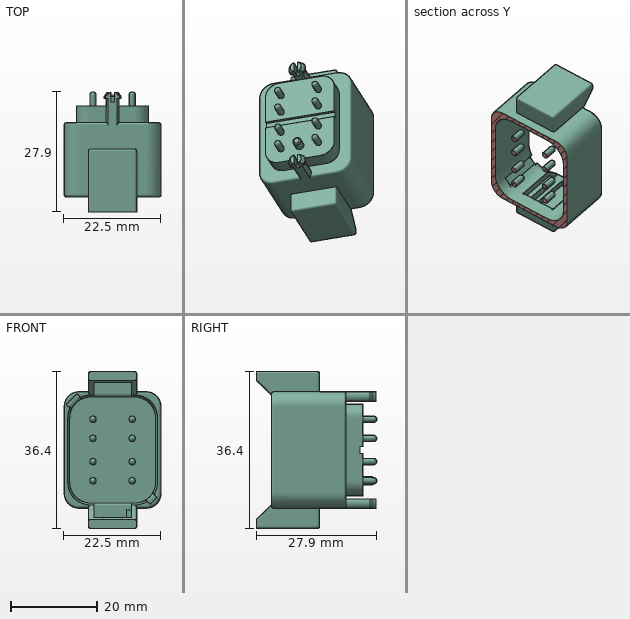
import cadquery as cq
import math


DIAGONAL = math.sqrt(0.5)

SHELL_WIDTH = 22.45
SHELL_HEIGHT = 27.0
SHELL_DEPTH = 17.25
SHELL_CORNER_RADIUS = 3.5
SHELL_REAR_ROUND = 0.5
SHELL_MOUTH_ROUND = 0.58

CAVITY_WIDTH = 19.85
CAVITY_HEIGHT = 24.5
CAVITY_CORNER_RADIUS = 4.75
CAVITY_DEPTH = 15.85
CAVITY_FLOOR_FILLET = 0.18
LEAD_IN_STEPS = [(0.35, 0.1), (0.87, 0.35)]

KEYWAY_DEPTH = 10.0
KEYWAY_WALL = 0.98
KEYWAY_HEIGHT = 3.27
KEYWAY_END_FLAT = 0.65
KEYWAY_END_ROUND = 1.0
KEYWAY_EDGE_FILLET = 0.18
NARROW_KEYWAY_WIDTH = 2.25
WIDE_KEYWAY_WIDTH = 3.93
WIDE_KEYWAY_SPLAY = 17
WIDE_KEYWAY_CORNER = 0.35

HOOD_WIDTH = 11.2
HOOD_TOP = 18.18
HOOD_OVERHANG = 3.5
HOOD_REAR = 11.13
HOOD_LIP = 2.1
HOOD_ROOT = 12.73
HOOD_ROUND = 0.5
HOOD_POCKET_WIDTH = 8.73
HOOD_POCKET_TOP = 15.65
HOOD_POCKET_DEPTH = 9.5
HOOD_POCKET_ROUND = 0.73

RIB_WIDTH = 1.2
RIB_HEIGHT = 1.78
RECESS_WIDTH = 4.35
RECESS_DEPTH = 1.35
RECESS_FRONT = -1.78

BLOCK_WIDTH = 16.73
BLOCK_HEIGHT = 21.25
BLOCK_LENGTH = 3.93
BLOCK_CORNER_RADIUS = 3.25
BLOCK_SLOT_WIDTH = 1.53
BLOCK_SLOT_DEPTH = 0.65

PIN_DIAMETER = 1.5
PIN_TIP = 9.75
PIN_REAR_LENGTH = 7.15
PIN_COLUMN = 4.55
PIN_ROWS = [2.7, 7.13]

PEG_DIAMETER = 1.95
PEG_LENGTH = 6.45
PEG_CHAMFER = 0.33

LEG_RADIUS = 1.53
LEG_THICKNESS = 2.2
LEG_HEAD_RADIUS = 1.95
LEG_HEAD_START = 5.55
LEG_HEAD_CONE_START = 6.07
LEG_LENGTH = 7.0
LEG_TIP_RADIUS = 1.3
LEG_SLOT_WIDTH = 0.8
LEG_SLOT_START = 4.85
LEG_ANCHOR = 1.1


def rounded_prism(width, height, radius, y_start, length):
    """Prism with rounded corners, running towards +Y."""
    prism = cq.Workplane("XZ", origin=(0, y_start, 0)).rect(width, height).extrude(-length)
    return prism.edges("|Y").fillet(radius)


def block(x_range, y_range, z_range):
    """Axis-aligned block between the given limits."""
    lows, highs = zip(x_range, y_range, z_range)
    sizes = [high - low for low, high in zip(lows, highs)]
    return cq.Workplane("XY").box(*sizes, centered=False).translate(lows)


def make_shell():
    shell = rounded_prism(SHELL_WIDTH, SHELL_HEIGHT, SHELL_CORNER_RADIUS, 0, SHELL_DEPTH)
    return shell.faces(">Y").edges().fillet(SHELL_REAR_ROUND).faces("<Y").edges().fillet(SHELL_MOUTH_ROUND)


def make_cavity():
    y = sum(depth for depth, growth in LEAD_IN_STEPS)
    cavity = rounded_prism(CAVITY_WIDTH, CAVITY_HEIGHT, CAVITY_CORNER_RADIUS, y, CAVITY_DEPTH - y)
    cavity = cavity.faces(">Y").edges().fillet(CAVITY_FLOOR_FILLET)
    for depth, growth in LEAD_IN_STEPS:
        taper = -math.degrees(math.atan2(growth, depth))
        rim = cavity.faces("<Y").wires().toPending()
        cavity = rim.workplane(origin=(0, y, 0)).extrude(depth, taper=taper)
        y -= depth
    return cavity


def make_keyway(width, splay, corner_radius):
    """Keyway cutter on the upper right corner diagonal; its sides lean by splay degrees."""
    outer = SHELL_CORNER_RADIUS - KEYWAY_WALL
    inner = outer - KEYWAY_HEIGHT
    round_start = outer - KEYWAY_END_FLAT
    diagonal = DIAGONAL * KEYWAY_END_ROUND
    side = (
        cq.Workplane("XY")
        .moveTo(inner, 0)
        .lineTo(outer, 0)
        .lineTo(outer, KEYWAY_DEPTH)
        .lineTo(round_start, KEYWAY_DEPTH)
        .threePointArc(
            (round_start - diagonal, KEYWAY_DEPTH + KEYWAY_END_ROUND - diagonal),
            (round_start - KEYWAY_END_ROUND, KEYWAY_DEPTH + KEYWAY_END_ROUND),
        )
        .lineTo(inner, KEYWAY_DEPTH + KEYWAY_END_ROUND)
        .close()
        .extrude(width, both=True)
    )
    floor_half = width / 2
    inner_half = floor_half - KEYWAY_HEIGHT * math.tan(math.radians(splay))
    outline = [(inner, -inner_half), (outer, -floor_half), (outer, floor_half), (inner, inner_half)]
    channel = cq.Workplane("XZ").polyline(outline).close().extrude(-SHELL_DEPTH)
    if corner_radius:
        channel = channel.faces(">X").edges("|Y").fillet(corner_radius)
    keyway = side.intersect(channel).rotate((0, 0, 0), (0, 1, 0), -45)
    corner_x = SHELL_WIDTH / 2 - SHELL_CORNER_RADIUS
    corner_z = SHELL_HEIGHT / 2 - SHELL_CORNER_RADIUS
    return keyway.translate((corner_x, 0, corner_z))


def round_keyway_edges(body, side_x, side_z):
    """Round the long keyway edges inside the cavity corner on the given sides (each +1 or -1)."""
    near = (
        side_x * (CAVITY_WIDTH / 2 - CAVITY_CORNER_RADIUS),
        0,
        side_z * (CAVITY_HEIGHT / 2 - CAVITY_CORNER_RADIUS),
    )
    far = (
        side_x * (CAVITY_WIDTH / 2 - KEYWAY_EDGE_FILLET),
        CAVITY_DEPTH,
        side_z * (CAVITY_HEIGHT / 2 - KEYWAY_EDGE_FILLET),
    )
    keyway_edges = body.edges("|Y").edges(cq.selectors.BoxSelector(near, far))
    return keyway_edges.fillet(KEYWAY_EDGE_FILLET)


def make_hood():
    """Upper hood: a block whose front underside slopes from the end face down to the mouth."""
    slope_end = HOOD_TOP - HOOD_LIP
    outline = [
        (0, HOOD_ROOT),
        (-HOOD_OVERHANG, slope_end),
        (-HOOD_OVERHANG, HOOD_TOP),
        (HOOD_REAR, HOOD_TOP),
        (HOOD_REAR, HOOD_ROOT),
    ]
    hood = cq.Workplane("YZ").polyline(outline).close().extrude(HOOD_WIDTH / 2, both=True)
    slope_middle = (-HOOD_OVERHANG / 2, (HOOD_ROOT + slope_end) / 2)
    for x in (-HOOD_WIDTH / 2, HOOD_WIDTH / 2):
        hood = hood.edges(cq.NearestToPointSelector((x, *slope_middle))).fillet(HOOD_ROUND)
    return hood.edges("(>Z and |Y) or (>Y and |Z) or (>Y and >Z)").fillet(HOOD_ROUND)


def make_hood_pocket():
    """Upper hood pocket; it opens into the cavity over a rounded edge at its rear."""
    half = HOOD_POCKET_WIDTH / 2
    cavity_top = CAVITY_HEIGHT / 2
    diagonal = DIAGONAL * HOOD_POCKET_ROUND
    round_y = HOOD_POCKET_DEPTH + HOOD_POCKET_ROUND
    round_z = cavity_top + HOOD_POCKET_ROUND
    return (
        cq.Workplane("YZ")
        .moveTo(-HOOD_OVERHANG, cavity_top)
        .lineTo(-HOOD_OVERHANG, HOOD_POCKET_TOP)
        .lineTo(HOOD_POCKET_DEPTH, HOOD_POCKET_TOP)
        .lineTo(HOOD_POCKET_DEPTH, round_z)
        .threePointArc((round_y - diagonal, round_z - diagonal), (round_y, cavity_top))
        .close()
        .extrude(half, both=True)
    )


def make_rib():
    side = HOOD_POCKET_WIDTH / 2
    floor = -HOOD_POCKET_TOP
    return block((side - RIB_WIDTH, side), (0, HOOD_POCKET_DEPTH), (floor, floor + RIB_HEIGHT))


def make_recess():
    half = RECESS_WIDTH / 2
    floor = -HOOD_POCKET_TOP
    return block((-half, half), (RECESS_FRONT, HOOD_POCKET_DEPTH), (floor - RECESS_DEPTH, floor))


def make_rear_block():
    rear_block = rounded_prism(BLOCK_WIDTH, BLOCK_HEIGHT, BLOCK_CORNER_RADIUS, SHELL_DEPTH, BLOCK_LENGTH)
    rear = SHELL_DEPTH + BLOCK_LENGTH
    half_slot = BLOCK_SLOT_WIDTH / 2
    slot = block((-BLOCK_WIDTH, BLOCK_WIDTH), (rear - BLOCK_SLOT_DEPTH, rear), (-half_slot, half_slot))
    return rear_block.cut(slot)


def make_pin(x, z):
    length = SHELL_DEPTH + PIN_REAR_LENGTH - PIN_TIP
    radius = PIN_DIAMETER / 2
    middle_y = PIN_TIP + length / 2
    shank = length / 2 - radius
    diagonal = DIAGONAL * radius
    return (
        cq.Workplane("XY")
        .moveTo(0, -length / 2)
        .threePointArc((diagonal, -shank - diagonal), (radius, -shank))
        .lineTo(radius, shank)
        .threePointArc((diagonal, shank + diagonal), (0, length / 2))
        .close()
        .revolve(360, (0, 0, 0), (0, 1, 0))
        .translate((x, middle_y, z))
    )


def make_peg():
    peg = cq.Workplane("XZ", origin=(0, SHELL_DEPTH, -max(PIN_ROWS))).circle(PEG_DIAMETER / 2)
    return peg.extrude(-PEG_LENGTH).faces(">Y").chamfer(PEG_CHAMFER)


def make_snap_leg():
    """Upper snap leg: a barbed round leg flattened above and below and split at its end."""
    profile = [
        (0, -LEG_ANCHOR),
        (LEG_RADIUS, -LEG_ANCHOR),
        (LEG_RADIUS, LEG_HEAD_START),
        (LEG_HEAD_RADIUS, LEG_HEAD_START),
        (LEG_HEAD_RADIUS, LEG_HEAD_CONE_START),
        (LEG_TIP_RADIUS, LEG_LENGTH),
        (0, LEG_LENGTH),
    ]
    leg = cq.Workplane("XY").polyline(profile).close().revolve(360, (0, 0, 0), (0, 1, 0))
    wide = (-LEG_HEAD_RADIUS, LEG_HEAD_RADIUS)
    half_thickness = LEG_THICKNESS / 2
    half_slot = LEG_SLOT_WIDTH / 2
    leg = leg.intersect(block(wide, (-LEG_ANCHOR, LEG_LENGTH), (-half_thickness, half_thickness)))
    leg = leg.cut(block((-half_slot, half_slot), (LEG_SLOT_START, LEG_LENGTH), wide))
    return leg.translate((0, SHELL_DEPTH, SHELL_HEIGHT / 2 - half_thickness))


def with_mirror(upper):
    """The given upper feature together with its mirror image below."""
    return upper.union(upper.mirror("XY"))


connector = make_shell().union(with_mirror(make_hood()))
connector = connector.cut(make_cavity()).cut(with_mirror(make_hood_pocket()))

narrow_keyway = make_keyway(NARROW_KEYWAY_WIDTH, 0, 0)
wide_keyway = make_keyway(WIDE_KEYWAY_WIDTH, WIDE_KEYWAY_SPLAY, WIDE_KEYWAY_CORNER)
connector = connector.cut(narrow_keyway.mirror("XY")).cut(wide_keyway.mirror("YZ"))
connector = round_keyway_edges(connector, 1, -1)
connector = round_keyway_edges(connector, -1, 1)

connector = connector.cut(make_recess()).union(make_rib())
connector = connector.union(make_rear_block()).union(make_peg())
connector = connector.union(with_mirror(make_snap_leg()))
for pin_x in (-PIN_COLUMN, PIN_COLUMN):
    for row in PIN_ROWS:
        connector = connector.union(with_mirror(make_pin(pin_x, row)))

result = connector